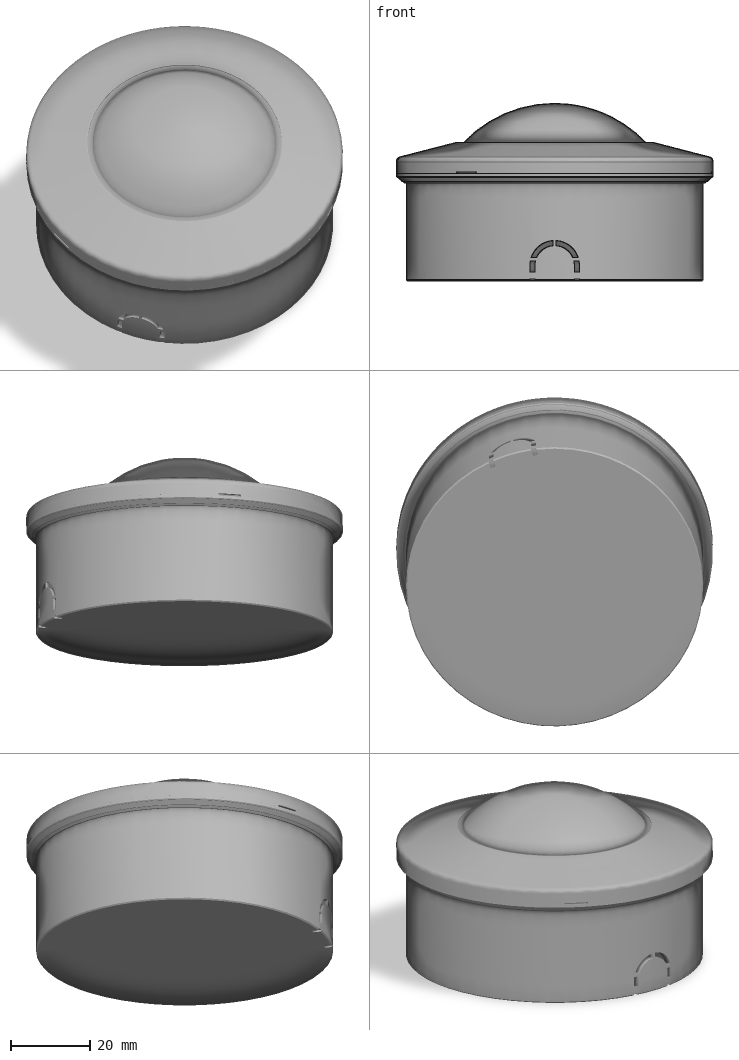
import cadquery as cq
import math

outer_radius = 39.95
total_height = 44.75

drum_radius = 37.5
bottom_chamfer = 0.3
lip_bottom = 24.6
lip_foot_radius = 37.9
base_top = 25.1
lip_top_radius = lip_foot_radius + base_top - lip_bottom

plate_step = 0.2
plate_flare_top = 26.05
plate_edge_chamfer = 0.2
plate_top = 27.0

cover_top = 34.9
cone_top_radius = 24.8
cone_drop = 3.9
rim_fillet = 1.3
cover_bore_radius = 24.5

notch_count = 3
notch_width = 5.9
notch_height = 0.5
notch_depth = 0.8
notch_start_angle = -4.0

lens_radius = 23.2
lens_edge_height = 34.7

arch_outer_radius = 6.2
arch_inner_radius = 4.95
arch_center_height = 3.9
groove_depth = 2.4
top_bridge_width = 0.7
side_bridges = [(0.5, 2.2), (4.95, 5.8)]


def make_arch(radius, depth):
    """Upright arch standing on the bottom plane, reaching inward from the -Y side of the drum."""
    return (
        cq.Workplane("XZ", origin=(0, -drum_radius + depth, 0))
        .moveTo(-radius, 0)
        .lineTo(-radius, arch_center_height)
        .threePointArc((0, arch_center_height + radius), (radius, arch_center_height))
        .lineTo(radius, 0)
        .close()
        .extrude(2 * depth)
    )


def make_bridge(width, bottom, top):
    """Block of wall left uncut across the groove, between two heights."""
    reach = 2 * groove_depth
    return (
        cq.Workplane("XY", origin=(0, -drum_radius, bottom))
        .box(width, reach, top - bottom, centered=(True, True, False))
    )


def make_knockout_groove():
    groove = make_arch(arch_outer_radius, groove_depth).cut(make_arch(arch_inner_radius, groove_depth))
    arch_top = arch_center_height + arch_outer_radius
    groove = groove.cut(make_bridge(top_bridge_width, arch_center_height, arch_top))
    for bridge_bottom, bridge_top in side_bridges:
        groove = groove.cut(make_bridge(2 * arch_outer_radius, bridge_bottom, bridge_top))
    return groove


def revolve_profile(points):
    """Full turn about Z of a closed outline given as (radius, height) points."""
    return cq.Workplane("XZ").polyline(points).close().revolve(360, (0, 0, 0), (0, 1, 0))


def make_base():
    base = revolve_profile([
        (0, 0),
        (drum_radius - bottom_chamfer, 0),
        (drum_radius, bottom_chamfer),
        (drum_radius, lip_bottom),
        (lip_foot_radius, lip_bottom),
        (lip_top_radius, base_top),
        (0, base_top),
    ])
    return base.cut(make_knockout_groove())


def make_mounting_plate():
    foot_radius = lip_top_radius + plate_step
    flare_radius = foot_radius + plate_flare_top - base_top
    return revolve_profile([
        (0, base_top),
        (foot_radius, base_top),
        (flare_radius, plate_flare_top),
        (outer_radius - plate_edge_chamfer, plate_flare_top),
        (outer_radius, plate_flare_top + plate_edge_chamfer),
        (outer_radius, plate_top),
        (0, plate_top),
    ])


def make_cover():
    rim_height = cover_top - cone_drop
    cover = revolve_profile([
        (cover_bore_radius, plate_top),
        (outer_radius, plate_top),
        (outer_radius, rim_height),
        (cone_top_radius, cover_top),
        (cover_bore_radius, cover_top),
    ])
    rim = cq.selectors.NearestToPointSelector((0, 0, rim_height))
    cover = cover.edges(rim).fillet(rim_fillet)
    for index in range(notch_count):
        notch = (
            cq.Workplane("XY", origin=(outer_radius, 0, plate_top))
            .box(2 * notch_depth, notch_width, notch_height, centered=(True, True, False))
            .rotate((0, 0, 0), (0, 0, 1), notch_start_angle + index * 360 / notch_count)
        )
        cover = cover.cut(notch)
    return cover


def make_lens():
    rise = total_height - lens_edge_height
    sphere_radius = (lens_radius**2 + rise**2) / (2 * rise)
    half_angle = math.asin(lens_radius / sphere_radius) / 2
    arc_middle = (
        sphere_radius * math.sin(half_angle),
        total_height - sphere_radius * (1 - math.cos(half_angle)),
    )
    return (
        cq.Workplane("XZ")
        .moveTo(0, plate_top)
        .lineTo(cover_bore_radius, plate_top)
        .lineTo(cover_bore_radius, lens_edge_height)
        .lineTo(lens_radius, lens_edge_height)
        .threePointArc(arc_middle, (0, total_height))
        .close()
        .revolve(360, (0, 0, 0), (0, 1, 0))
    )


base = make_base()
mounting_plate = make_mounting_plate()
cover = make_cover()
lens = make_lens()
result = cq.Compound.makeCompound([base.val(), mounting_plate.val(), cover.val(), lens.val()])